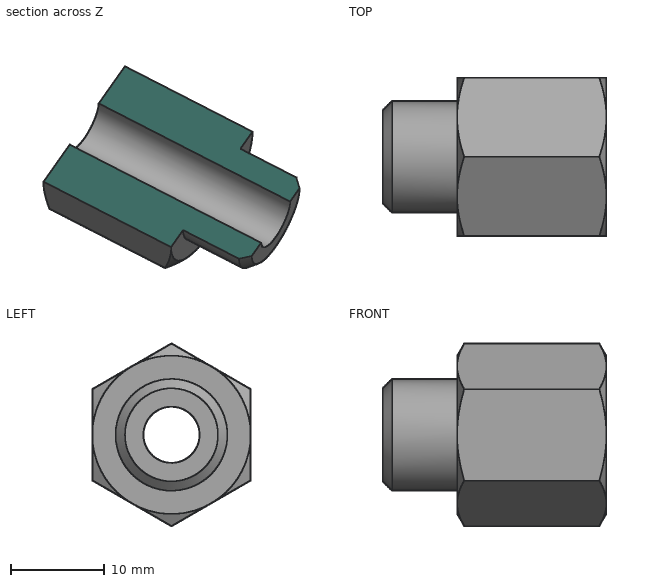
import cadquery as cq
import math

total_length = 24.0
hex_length = 16.0
across_flats = 17.0
spigot_diameter = 12.0
spigot_chamfer = 1.0
bore_diameter = 6.0
corner_chamfer_angle = 30.0

spigot_length = total_length - hex_length
flat_radius = across_flats / 2
corner_radius = flat_radius / math.cos(math.radians(30))
corner_chamfer_length = (corner_radius - flat_radius) * math.tan(math.radians(corner_chamfer_angle))


def hex_body():
    """Hexagonal prism with corners at +Z and -Z, and conically chamfered ends."""
    prism = (
        cq.Workplane("YZ", origin=(spigot_length, 0, 0))
        .polygon(6, 2 * corner_radius)
        .extrude(hex_length)
        .rotate((0, 0, 0), (1, 0, 0), 90)
    )
    envelope = (
        cq.Workplane("XY")
        .moveTo(spigot_length, 0)
        .lineTo(spigot_length, flat_radius)
        .lineTo(spigot_length + corner_chamfer_length, corner_radius)
        .lineTo(total_length - corner_chamfer_length, corner_radius)
        .lineTo(total_length, flat_radius)
        .lineTo(total_length, 0)
        .close()
        .revolve(360, (0, 0, 0), (1, 0, 0))
    )
    return prism.intersect(envelope)


def spigot():
    """Round spigot with a chamfered free end."""
    return (
        cq.Workplane("YZ")
        .circle(spigot_diameter / 2)
        .extrude(spigot_length)
        .faces("<X")
        .chamfer(spigot_chamfer)
    )


def bore():
    """Plain hole along the whole axis."""
    return cq.Workplane("YZ").circle(bore_diameter / 2).extrude(total_length)


result = hex_body().union(spigot()).cut(bore())